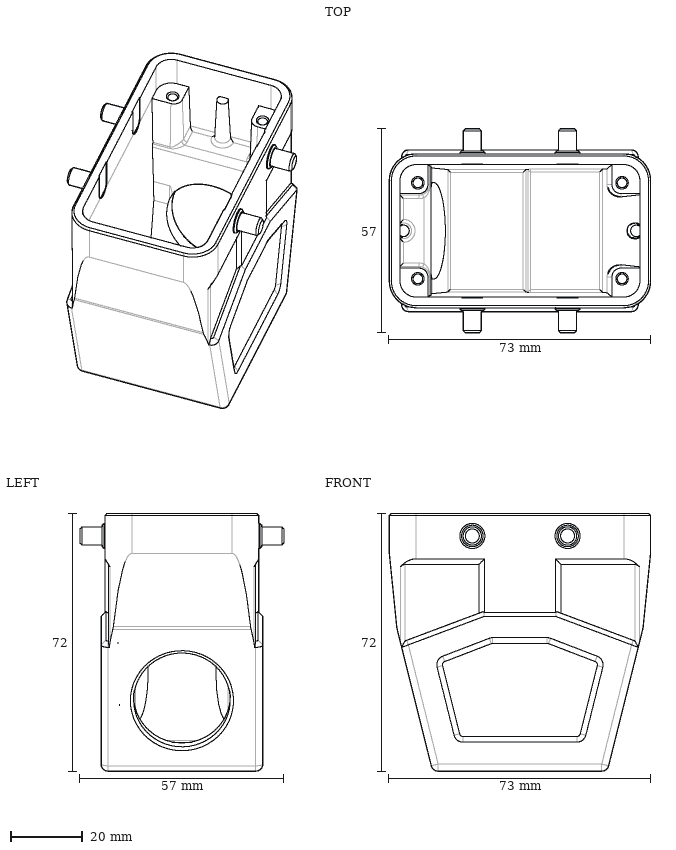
import cadquery as cq
import math

HEIGHT = 72.0
HALF_LENGTH = 36.5
HALF_WIDTH = 21.5
PIN_TIP_Y = 28.5
OVERSIZE = 20.0
SELECTION_MARGIN = 0.1

TAPER_START_Z = 60.8
KNEE_Z = 40.0
KNEE_HALF_LENGTH = 34.4
KNEE_RADIUS = 5.5
BASE_HALF_LENGTH = 24.4
END_SLOPE = (KNEE_HALF_LENGTH - BASE_HALF_LENGTH) / KNEE_Z

SHELL_CORNER_RADIUS = 7.5
RIM_CHAMFER = 0.6
SHELL_BOTTOM_Z = 30.0

BODY_HALF_WIDTH = 22.6
SHOULDER_Z = 35.9
CREST_Z = 44.6
CREST_HALF_LENGTH = 10.2
LEDGE_CHAMFER = 1.35
BODY_EDGE_RADIUS = 2.0

RELIEF_DEPTH = 1.0
RELIEF_BEVEL = 1.6
RELIEF_TAPER = math.degrees(math.atan(RELIEF_BEVEL / RELIEF_DEPTH))
PANEL_INNER_X = 9.9
PANEL_TOP_Z = 59.3
PANEL_EDGE_RADIUS = 2.0
LABEL_CORNER_RADIUS = 2.6
LABEL_OUTLINE = [(17.9, 8.1), (23.7, 31.3), (8.1, 37.3)]

CAVITY_HALF_LENGTH = 33.5
CAVITY_HALF_WIDTH = 18.5
CAVITY_CORNER_RADIUS = 4.5
DRAFT_START_Z = 62.5
FLOOR_HALF_WIDTH = 17.1
FLOOR_Z = 4.6
FLOOR_EDGE_RADIUS = 0.8
RAISED_FLOOR_Z = 8.0
STEP_X = 1.5
LEFT_WALL_FLOOR_X = -20.0
RIGHT_WALL_FLOOR_X = 22.9
LEDGE_X = -24.8
LEDGE_Z = 46.0
LEDGE_RADIUS = 2.0
LEDGE_CORNER_RADIUS = 1.0

BOSS_TOP_Z = 62.5
BOSS_BOTTOM_Z = 3.0
BOSS_INNER_X = 25.7
BOSS_INNER_Y = 10.4
BOSS_CORNER_RADIUS = 2.5
BOSS_DRAFT = 1.6
SCREW_X = 28.5
SCREW_Y = 13.4
SCREW_RADIUS = 1.35
SCREW_DEPTH = 12.0
SCREW_CHAMFER = 0.4

POST_X = 32.5
POST_TOP_Z = 62.0
POST_BOTTOM_Z = 30.0
POST_TOP_RADIUS = 1.6
POST_BOTTOM_RADIUS = 2.9

PIN_X = 13.3
PIN_Z = 65.7
PIN_RADIUS = 2.55
PIN_CHAMFER = 0.6
COLLAR_RADIUS = 3.5
COLLAR_HEIGHT = 0.8
COLLAR_CHAMFER = 0.5
GROOVE_DEPTH = 0.2
GROOVE_RADIUS = 2.9
GROOVE_BOTTOM_Z = 61.3

ENTRY_Z = 19.7
ENTRY_RADIUS = 13.5
ENTRY_MOUTH_RADIUS = 14.4
ENTRY_CHAMFER = 0.9
ENTRY_LENGTH = 15.0


def end_half_length(z):
    """Half length of the steep end faces at height z below the knee."""
    return BASE_HALF_LENGTH + END_SLOPE * z


def prism_along_y(points, half_width):
    """Extrude an (x, z) outline symmetrically to both sides of Y = 0."""
    return cq.Workplane("XZ").polyline(points).close().extrude(half_width, both=True)


def mirrored_outline(right_half):
    """Complete an outline from its right half, listed bottom to top."""
    return right_half + [(-x, z) for x, z in reversed(right_half)]


def make_upper_shell():
    height = HEIGHT - SHELL_BOTTOM_Z
    block = (
        cq.Workplane("XY", origin=(0, 0, SHELL_BOTTOM_Z))
        .rect(2 * HALF_LENGTH, 2 * HALF_WIDTH)
        .extrude(height)
        .edges("|Z")
        .fillet(SHELL_CORNER_RADIUS)
        .faces(">Z")
        .edges()
        .chamfer(RIM_CHAMFER)
    )
    profile = mirrored_outline([
        (BASE_HALF_LENGTH, 0),
        (KNEE_HALF_LENGTH, KNEE_Z),
        (HALF_LENGTH, TAPER_START_Z),
        (HALF_LENGTH, HEIGHT),
    ])
    end_profile = prism_along_y(profile, HALF_WIDTH)
    for x in (-KNEE_HALF_LENGTH, KNEE_HALF_LENGTH):
        knee = cq.selectors.NearestToPointSelector((x, 0, KNEE_Z))
        end_profile = end_profile.edges(knee).fillet(KNEE_RADIUS)
    return block.intersect(end_profile)


def cut_relief_panels(shell):
    """Sink the bevelled panels beside the centre strip, running out past the ends."""
    length = HALF_LENGTH + OVERSIZE - PANEL_INNER_X
    height = PANEL_TOP_Z - SHELL_BOTTOM_Z + OVERSIZE
    panel = (
        cq.Workplane("XZ", origin=(PANEL_INNER_X + length / 2, -HALF_WIDTH, PANEL_TOP_Z - height / 2))
        .rect(length, height)
        .extrude(-RELIEF_DEPTH, taper=RELIEF_TAPER)
    )
    for first in (panel, panel.mirror("YZ")):
        shell = shell.cut(first).cut(first.mirror("XZ"))
    panel_y = HALF_WIDTH - RELIEF_DEPTH
    corner_dx = math.sqrt(SHELL_CORNER_RADIUS**2 - (SHELL_CORNER_RADIUS - RELIEF_DEPTH) ** 2)
    panel_end_x = HALF_LENGTH - SHELL_CORNER_RADIUS + corner_dx
    middle_z = (SHELL_BOTTOM_Z + PANEL_TOP_Z) / 2
    for x in (-panel_end_x, panel_end_x):
        for y in (-panel_y, panel_y):
            outer_edge = cq.selectors.NearestToPointSelector((x, y, middle_z))
            shell = shell.edges(outer_edge).fillet(PANEL_EDGE_RADIUS)
    return shell


def make_lower_body():
    outline = mirrored_outline([
        (BASE_HALF_LENGTH, 0),
        (end_half_length(SHOULDER_Z), SHOULDER_Z),
        (CREST_HALF_LENGTH, CREST_Z),
    ])
    body = prism_along_y(outline, BODY_HALF_WIDTH)
    lower_zone = cq.selectors.BoxSelector(
        (-HALF_LENGTH, -HALF_LENGTH, -SELECTION_MARGIN),
        (HALF_LENGTH, HALF_LENGTH, SHOULDER_Z - SELECTION_MARGIN),
    )
    upper_zone = cq.selectors.BoxSelector(
        (-HALF_LENGTH, -HALF_LENGTH, SHOULDER_Z + SELECTION_MARGIN),
        (HALF_LENGTH, HALF_LENGTH, HEIGHT),
    )
    body = body.edges(lower_zone).fillet(BODY_EDGE_RADIUS)
    return body.faces("<Y or >Y").edges(upper_zone).chamfer(LEDGE_CHAMFER)


def cut_label_recesses(housing):
    """Sink a bevelled, blank label field into both long faces."""
    outline = mirrored_outline(LABEL_OUTLINE)
    recess = (
        cq.Workplane("XZ", origin=(0, -BODY_HALF_WIDTH, 0))
        .sketch()
        .polygon(outline + outline[:1])
        .vertices()
        .fillet(LABEL_CORNER_RADIUS)
        .finalize()
        .extrude(-RELIEF_DEPTH, taper=RELIEF_TAPER)
    )
    return housing.cut(recess).cut(recess.mirror("XZ"))


def make_cavity_space():
    """Open space of the cavity before the bosses and posts are added."""
    left_toe_z = FLOOR_Z + (LEFT_WALL_FLOOR_X - LEDGE_X) / END_SLOPE
    right_wall_top_z = RAISED_FLOOR_Z + (CAVITY_HALF_LENGTH - RIGHT_WALL_FLOOR_X) / END_SLOPE
    step_top_x = STEP_X + (RAISED_FLOOR_Z - FLOOR_Z) * END_SLOPE
    profile = [
        (-CAVITY_HALF_LENGTH, HEIGHT),
        (-CAVITY_HALF_LENGTH, LEDGE_Z),
        (LEDGE_X, LEDGE_Z),
        (LEDGE_X, left_toe_z),
        (LEFT_WALL_FLOOR_X, FLOOR_Z),
        (STEP_X, FLOOR_Z),
        (step_top_x, RAISED_FLOOR_Z),
        (RIGHT_WALL_FLOOR_X, RAISED_FLOOR_Z),
        (CAVITY_HALF_LENGTH, right_wall_top_z),
        (CAVITY_HALF_LENGTH, HEIGHT),
    ]
    length_space = prism_along_y(profile, CAVITY_HALF_WIDTH)
    ledge_edge = cq.selectors.NearestToPointSelector((LEDGE_X, 0, LEDGE_Z))
    length_space = length_space.edges(ledge_edge).fillet(LEDGE_RADIUS)
    section = [
        (-CAVITY_HALF_WIDTH, HEIGHT),
        (-CAVITY_HALF_WIDTH, DRAFT_START_Z),
        (-FLOOR_HALF_WIDTH, FLOOR_Z),
        (FLOOR_HALF_WIDTH, FLOOR_Z),
        (CAVITY_HALF_WIDTH, DRAFT_START_Z),
        (CAVITY_HALF_WIDTH, HEIGHT),
    ]
    width_space = cq.Workplane("YZ").polyline(section).close().extrude(CAVITY_HALF_LENGTH, both=True)
    opening = (
        cq.Workplane("XY")
        .rect(2 * CAVITY_HALF_LENGTH, 2 * CAVITY_HALF_WIDTH)
        .extrude(HEIGHT)
        .edges("|Z")
        .fillet(CAVITY_CORNER_RADIUS)
    )
    space = length_space.intersect(width_space).intersect(opening)
    space = space.faces("<Z").edges().fillet(FLOOR_EDGE_RADIUS)
    raised_floor = cq.selectors.NearestToPointSelector((RIGHT_WALL_FLOOR_X / 2, 0, RAISED_FLOOR_Z))
    return space.faces(raised_floor).edges().fillet(FLOOR_EDGE_RADIUS)


def make_boss():
    """Drafted corner boss at +X, +Y; it widens downward and overlaps the walls."""
    length = HALF_LENGTH + OVERSIZE - BOSS_INNER_X
    width = HALF_WIDTH + OVERSIZE - BOSS_INNER_Y
    height = BOSS_TOP_Z - BOSS_BOTTOM_Z
    return (
        cq.Workplane("XY", origin=(BOSS_INNER_X + length / 2, BOSS_INNER_Y + width / 2, BOSS_TOP_Z))
        .sketch()
        .rect(length, width)
        .vertices()
        .fillet(BOSS_CORNER_RADIUS)
        .finalize()
        .extrude(-height, taper=-BOSS_DRAFT)
    )


def make_screw_hole():
    """Blind screw hole with a chamfered mouth in the +X, +Y boss."""
    return (
        cq.Workplane("XZ", origin=(SCREW_X, SCREW_Y, 0))
        .moveTo(0, BOSS_TOP_Z)
        .lineTo(SCREW_RADIUS + SCREW_CHAMFER, BOSS_TOP_Z)
        .lineTo(SCREW_RADIUS, BOSS_TOP_Z - SCREW_CHAMFER)
        .lineTo(SCREW_RADIUS, BOSS_TOP_Z - SCREW_DEPTH)
        .lineTo(0, BOSS_TOP_Z - SCREW_DEPTH)
        .close()
        .revolve(360, (0, 0, 0), (0, 1, 0))
    )


def make_post():
    """Conical keying post at the +X end wall."""
    return (
        cq.Workplane("XY", origin=(POST_X, 0, POST_BOTTOM_Z))
        .circle(POST_BOTTOM_RADIUS)
        .workplane(offset=POST_TOP_Z - POST_BOTTOM_Z)
        .circle(POST_TOP_RADIUS)
        .loft()
    )


def at_all_corners(shape):
    """Copies of a +X, +Y shape in all four quadrants."""
    pair = [shape, shape.mirror("YZ")]
    return pair + [item.mirror("XZ") for item in pair]


def cut_cavity(housing):
    space = make_cavity_space()
    for boss in at_all_corners(make_boss()):
        space = space.cut(boss)
    post = make_post()
    space = space.cut(post).cut(post.mirror("YZ"))
    ledge_corners = cq.selectors.BoxSelector(
        (-HALF_LENGTH, -HALF_WIDTH, LEDGE_Z - SELECTION_MARGIN),
        (LEDGE_X - LEDGE_RADIUS - SELECTION_MARGIN, HALF_WIDTH, LEDGE_Z + SELECTION_MARGIN),
    )
    space = space.edges(ledge_corners).fillet(LEDGE_CORNER_RADIUS)
    housing = housing.cut(space)
    for hole in at_all_corners(make_screw_hole()):
        housing = housing.cut(hole)
    return housing


def cut_cable_entry(housing):
    """Bore the entry with a chamfered mouth along the normal of the -X end."""
    mouth = cq.Plane(
        origin=(-end_half_length(ENTRY_Z), 0, ENTRY_Z),
        xDir=(0, 1, 0),
        normal=(-1, 0, -END_SLOPE),
    )
    bore = cq.Workplane(mouth).circle(ENTRY_RADIUS).extrude(-ENTRY_LENGTH)
    chamfer = (
        cq.Workplane(mouth)
        .circle(ENTRY_MOUTH_RADIUS)
        .workplane(offset=-ENTRY_CHAMFER)
        .circle(ENTRY_RADIUS)
        .loft()
    )
    return housing.cut(bore).cut(chamfer)


def make_pin(x):
    """Locking pin on a chamfered collar, on the -Y face."""
    inner_y = -(HALF_WIDTH + CAVITY_HALF_WIDTH) / 2
    pin = (
        cq.Workplane("XZ", origin=(x, inner_y, PIN_Z))
        .circle(PIN_RADIUS)
        .extrude(PIN_TIP_Y + inner_y)
        .faces("<Y")
        .chamfer(PIN_CHAMFER)
    )
    collar = (
        cq.Workplane("XZ", origin=(x, -HALF_WIDTH, PIN_Z))
        .circle(COLLAR_RADIUS)
        .extrude(COLLAR_HEIGHT)
        .faces("<Y")
        .chamfer(COLLAR_CHAMFER)
    )
    return pin.union(collar)


def make_groove(x):
    """Shallow round-ended groove inside the wall, behind a pin on the -Y side."""
    centre_z = GROOVE_BOTTOM_Z + GROOVE_RADIUS
    return (
        cq.Workplane("XZ", origin=(x, -CAVITY_HALF_WIDTH, 0))
        .moveTo(-GROOVE_RADIUS, HEIGHT)
        .lineTo(-GROOVE_RADIUS, centre_z)
        .threePointArc((0, GROOVE_BOTTOM_Z), (GROOVE_RADIUS, centre_z))
        .lineTo(GROOVE_RADIUS, HEIGHT)
        .close()
        .extrude(GROOVE_DEPTH)
    )


def add_pins(housing):
    for x in (-PIN_X, PIN_X):
        pin = make_pin(x)
        groove = make_groove(x)
        housing = housing.union(pin).union(pin.mirror("XZ"))
        housing = housing.cut(groove).cut(groove.mirror("XZ"))
    return housing


housing = cut_relief_panels(make_upper_shell()).union(make_lower_body())
housing = cut_label_recesses(housing)
housing = cut_cavity(housing)
housing = cut_cable_entry(housing)
result = add_pins(housing)